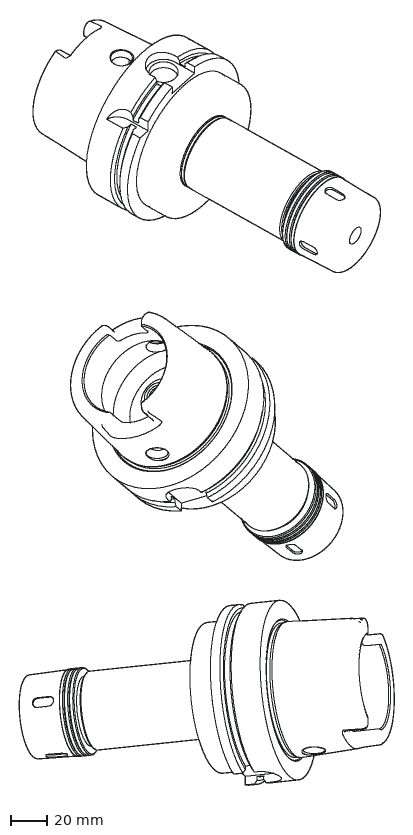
import cadquery as cq
import math


SHANK_LENGTH = 50.0
SHANK_END_RADIUS = 35.5
SHANK_ROOT_RADIUS = 37.85
SHANK_END_ROUND = 2.0
RELIEF_LENGTH = 2.8
RELIEF_RADIUS = 37.5
RELIEF_FACE_RADIUS = 39.5
RELIEF_FACE_DEPTH = 0.5

BORE_DIAMETER = 53.0
BORE_MOUTH_CHAMFER = 0.8
BORE_LIP_X = -30.0
UNDERCUT_DIAMETER = 63.0
UNDERCUT_END_X = -8.8
BORE_FLOOR_DIAMETER = 49.5
SPIGOT_BASE_DIAMETER = 24.0
SPIGOT_STEP_DIAMETER = 23.0
SPIGOT_STEP_X = -12.5
SPIGOT_TIP_BASE_DIAMETER = 16.5
SPIGOT_TIP_DIAMETER = 15.5
SPIGOT_TIP_X = -15.5
COOLANT_DIAMETER = 10.5
COOLANT_CHAMFER = 0.8

FLANGE_RADIUS = 50.0
FLANGE_WIDTH = 29.0
GROOVE_X = 20.2
GROOVE_FLOOR_WIDTH = 3.8
GROOVE_MOUTH_WIDTH = 6.5
GROOVE_FLOOR_RADIUS = 46.0
GROOVE_SHOULDER_RADIUS = 48.0

COLLAR_RADIUS = 42.0
COLLAR_END = 44.0
COLLAR_ROUND = 1.0
SHAFT_DIAMETER = 44.0
SHAFT_END = 114.8
SHAFT_CHAMFER = 0.8
SHAFT_GROOVE_DIAMETER = 43.5
SHAFT_GROOVE_START = 44.8
SHAFT_GROOVE_END = 46.5
SHAFT_GROOVE_SLOPE = 0.5
NECK_DIAMETER = 39.0

NUT_START = 117.5
NUT_END = 150.0
NUT_RING_DIAMETER = 48.8
NUT_RING_COUNT = 3
NUT_RING_PITCH = 3.0
NUT_RING_CHAMFER = 0.5
NUT_CONE_START_RADIUS = 24.1
NUT_CONE_END_RADIUS = 23.5
NUT_END_ROUND = 1.5
NUT_SLOT_COUNT = 4
NUT_SLOT_X = 135.5
NUT_SLOT_LENGTH = 12.5
NUT_SLOT_WIDTH = 5.5
NUT_SLOT_FLOOR_RADIUS = 22.5

KEYWAY_WIDTH = 20.0
KEYWAY_TOP_DEPTH = 10.0
KEYWAY_BOTTOM_DEPTH = 14.2
KEYWAY_SHOULDER = 32.2
KEYWAY_SHOULDER_ROUND = 5.0
KEYWAY_FLOOR_ROUND = 1.9
KEYWAY_MOUTH_ROUND = 1.8
KEYWAY_CUT_BASE = -4.0

ACCESS_X = -14.5
ACCESS_DIAMETER = 12.0
ACCESS_CHAMFER = 0.8

SLOT_X = 15.0
SLOT_WIDTH = 20.0
SLOT_FLOOR = 44.0
POCKET_DIAMETER = 16.0
POCKET_DEPTH = 4.5
NOTCH_WALL_Y = -31.5
NOTCH_FLOOR_Z = 31.7

CLEARANCE = 10.0


def revolve_about_x(profile):
    """Close a profile of (x, radius) points and turn it about the X axis."""
    return profile.close().revolve(360, (0, 0, 0), (1, 0, 0))


def mirrored(cutter):
    """Copy of a cutter on the -Z side."""
    return cutter.mirror("XY")


def keyway_cutter(depth):
    """Keyway open towards +Z whose side walls roll over onto flat shoulders."""
    half_width = KEYWAY_WIDTH / 2
    shoulder_start = half_width + KEYWAY_SHOULDER_ROUND
    wall_top = KEYWAY_SHOULDER - KEYWAY_SHOULDER_ROUND
    outer_half = shoulder_start + CLEARANCE
    outer_top = SHANK_ROOT_RADIUS + CLEARANCE
    cutter = (
        cq.Workplane("YZ", origin=(-SHANK_LENGTH, 0, 0))
        .moveTo(-half_width, KEYWAY_CUT_BASE)
        .lineTo(half_width, KEYWAY_CUT_BASE)
        .lineTo(half_width, wall_top)
        .radiusArc((shoulder_start, KEYWAY_SHOULDER), KEYWAY_SHOULDER_ROUND)
        .lineTo(outer_half, KEYWAY_SHOULDER)
        .lineTo(outer_half, outer_top)
        .lineTo(-outer_half, outer_top)
        .lineTo(-outer_half, KEYWAY_SHOULDER)
        .lineTo(-shoulder_start, KEYWAY_SHOULDER)
        .radiusArc((-half_width, wall_top), KEYWAY_SHOULDER_ROUND)
        .close()
        .extrude(depth)
    )
    return cutter.faces(">X").edges().fillet(KEYWAY_FLOOR_ROUND)


def keyed_blank():
    """Oversize round bar with both keyways, their mouth edges rounded; -Z is the deeper one."""
    blank = (
        cq.Workplane("YZ", origin=(-SHANK_LENGTH, 0, 0))
        .circle(SHANK_ROOT_RADIUS + CLEARANCE)
        .extrude(SHANK_LENGTH + CLEARANCE)
    )
    blank = blank.cut(keyway_cutter(KEYWAY_TOP_DEPTH))
    blank = blank.cut(mirrored(keyway_cutter(KEYWAY_BOTTOM_DEPTH)))
    keyway_edges = cq.selectors.BoxSelector(
        (-SHANK_LENGTH - CLEARANCE, -SHANK_END_RADIUS, -SHANK_END_RADIUS),
        (-SHANK_LENGTH + CLEARANCE, SHANK_END_RADIUS, SHANK_END_RADIUS),
    )
    return blank.faces("<X").edges(keyway_edges).fillet(KEYWAY_MOUTH_ROUND)


def keyed_shank():
    profile = (
        cq.Workplane("XY")
        .moveTo(-SHANK_LENGTH, 0)
        .lineTo(-SHANK_LENGTH, SHANK_END_RADIUS)
        .lineTo(-RELIEF_LENGTH, SHANK_ROOT_RADIUS)
        .lineTo(-RELIEF_LENGTH / 2, RELIEF_RADIUS)
        .lineTo(CLEARANCE, RELIEF_RADIUS)
        .lineTo(CLEARANCE, 0)
    )
    shank = revolve_about_x(profile).faces("<X").edges().fillet(SHANK_END_ROUND)
    return shank.intersect(keyed_blank())


def turned_flange():
    floor_half = GROOVE_FLOOR_WIDTH / 2
    mouth_half = GROOVE_MOUTH_WIDTH / 2
    profile = (
        cq.Workplane("XY")
        .moveTo(RELIEF_FACE_DEPTH, 0)
        .lineTo(RELIEF_FACE_DEPTH, RELIEF_FACE_RADIUS - RELIEF_FACE_DEPTH)
        .lineTo(0, RELIEF_FACE_RADIUS)
        .lineTo(0, FLANGE_RADIUS)
        .lineTo(GROOVE_X - mouth_half, FLANGE_RADIUS)
        .lineTo(GROOVE_X - floor_half, GROOVE_SHOULDER_RADIUS)
        .lineTo(GROOVE_X - floor_half, GROOVE_FLOOR_RADIUS)
        .lineTo(GROOVE_X + floor_half, GROOVE_FLOOR_RADIUS)
        .lineTo(GROOVE_X + floor_half, GROOVE_SHOULDER_RADIUS)
        .lineTo(GROOVE_X + mouth_half, FLANGE_RADIUS)
        .lineTo(FLANGE_WIDTH, FLANGE_RADIUS)
        .lineTo(FLANGE_WIDTH, 0)
    )
    return revolve_about_x(profile)


def turned_collar():
    collar = cq.Workplane("YZ").circle(COLLAR_RADIUS).extrude(COLLAR_END - FLANGE_WIDTH)
    return collar.faces(">X").edges().fillet(COLLAR_ROUND).translate((FLANGE_WIDTH, 0, 0))


def turned_shaft():
    shaft_radius = SHAFT_DIAMETER / 2
    groove_radius = SHAFT_GROOVE_DIAMETER / 2
    neck_radius = NECK_DIAMETER / 2
    profile = (
        cq.Workplane("XY")
        .moveTo(FLANGE_WIDTH, 0)
        .lineTo(FLANGE_WIDTH, shaft_radius)
        .lineTo(SHAFT_GROOVE_START, shaft_radius)
        .lineTo(SHAFT_GROOVE_START, groove_radius)
        .lineTo(SHAFT_GROOVE_END, groove_radius)
        .lineTo(SHAFT_GROOVE_END + SHAFT_GROOVE_SLOPE, shaft_radius)
        .lineTo(SHAFT_END - SHAFT_CHAMFER, shaft_radius)
        .lineTo(SHAFT_END, shaft_radius - SHAFT_CHAMFER)
        .lineTo(SHAFT_END, neck_radius)
        .lineTo(NUT_START + CLEARANCE, neck_radius)
        .lineTo(NUT_START + CLEARANCE, 0)
    )
    return revolve_about_x(profile)


def collet_nut():
    ring_radius = NUT_RING_DIAMETER / 2
    root_radius = ring_radius - NUT_RING_CHAMFER
    profile = cq.Workplane("XY").moveTo(NUT_START, 0).lineTo(NUT_START, root_radius)

    for index in range(NUT_RING_COUNT):
        ring_start = NUT_START + index * NUT_RING_PITCH
        next_start = ring_start + NUT_RING_PITCH
        profile = profile.lineTo(ring_start + NUT_RING_CHAMFER, ring_radius)
        profile = profile.lineTo(next_start - NUT_RING_CHAMFER, ring_radius)
        if index < NUT_RING_COUNT - 1:
            profile = profile.lineTo(next_start, root_radius)

    profile = (
        profile.lineTo(next_start - NUT_RING_CHAMFER, NUT_CONE_START_RADIUS)
        .lineTo(NUT_END, NUT_CONE_END_RADIUS)
        .lineTo(NUT_END, 0)
    )
    nut = revolve_about_x(profile).faces(">X").edges().fillet(NUT_END_ROUND)

    wrench_slot = (
        cq.Workplane("XY", origin=(NUT_SLOT_X, 0, NUT_SLOT_FLOOR_RADIUS))
        .slot2D(NUT_SLOT_LENGTH, NUT_SLOT_WIDTH)
        .extrude(CLEARANCE)
    )
    for index in range(NUT_SLOT_COUNT):
        angle = index * 360 / NUT_SLOT_COUNT
        nut = nut.cut(wrench_slot.rotate((0, 0, 0), (1, 0, 0), angle))
    return nut


def shank_bore():
    """Bore with an undercut behind its lip and a 45 degree bevel around the spigot floor."""
    bore_radius = BORE_DIAMETER / 2
    undercut_radius = UNDERCUT_DIAMETER / 2
    floor_radius = BORE_FLOOR_DIAMETER / 2
    floor_x = UNDERCUT_END_X + undercut_radius - floor_radius
    profile = (
        cq.Workplane("XY")
        .moveTo(-SHANK_LENGTH, 0)
        .lineTo(-SHANK_LENGTH, bore_radius + BORE_MOUTH_CHAMFER)
        .lineTo(-SHANK_LENGTH + BORE_MOUTH_CHAMFER, bore_radius)
        .lineTo(BORE_LIP_X, bore_radius)
        .lineTo(BORE_LIP_X, undercut_radius)
        .lineTo(UNDERCUT_END_X, undercut_radius)
        .lineTo(floor_x, floor_radius)
        .lineTo(floor_x, SPIGOT_BASE_DIAMETER / 2)
        .lineTo(SPIGOT_STEP_X, SPIGOT_STEP_DIAMETER / 2)
        .lineTo(SPIGOT_STEP_X, SPIGOT_TIP_BASE_DIAMETER / 2)
        .lineTo(SPIGOT_TIP_X, SPIGOT_TIP_DIAMETER / 2)
        .lineTo(SPIGOT_TIP_X, 0)
    )
    return revolve_about_x(profile)


def coolant_bore():
    coolant_radius = COOLANT_DIAMETER / 2
    profile = (
        cq.Workplane("XY")
        .moveTo(SPIGOT_TIP_X, 0)
        .lineTo(SPIGOT_TIP_X, coolant_radius + COOLANT_CHAMFER)
        .lineTo(SPIGOT_TIP_X + COOLANT_CHAMFER, coolant_radius)
        .lineTo(NUT_END, coolant_radius)
        .lineTo(NUT_END, 0)
    )
    return revolve_about_x(profile)


def access_hole():
    """Radial hole towards +Z with a countersunk mouth on the taper."""
    radius = ACCESS_DIAMETER / 2
    taper = (SHANK_ROOT_RADIUS - SHANK_END_RADIUS) / (SHANK_LENGTH - RELIEF_LENGTH)
    mouth_z = SHANK_END_RADIUS + taper * (SHANK_LENGTH + ACCESS_X)
    profile = (
        cq.Workplane("XZ")
        .moveTo(0, SPIGOT_BASE_DIAMETER / 2 + CLEARANCE)
        .lineTo(radius, SPIGOT_BASE_DIAMETER / 2 + CLEARANCE)
        .lineTo(radius, mouth_z - ACCESS_CHAMFER)
        .lineTo(radius + ACCESS_CHAMFER, mouth_z)
        .lineTo(radius + ACCESS_CHAMFER, mouth_z + CLEARANCE)
        .lineTo(0, mouth_z + CLEARANCE)
        .close()
    )
    return profile.revolve(360, (0, 0, 0), (0, 1, 0)).translate((ACCESS_X, 0, 0))


def round_ended_slot(center_y, floor_z):
    """Slot cut down to floor_z, round at its -X end and open at the back of the flange."""
    length = FLANGE_WIDTH - SLOT_X
    height = FLANGE_RADIUS - floor_z
    plane = cq.Workplane("XY", origin=(SLOT_X, center_y, floor_z))
    round_end = plane.circle(SLOT_WIDTH / 2).extrude(height)
    straight = plane.rect(2 * length, SLOT_WIDTH).extrude(height)
    front_half = cq.Workplane("XY").box(length, SLOT_WIDTH, height, centered=(False, True, False))
    straight = straight.intersect(front_half.translate((SLOT_X, center_y, floor_z)))
    return round_end.union(straight)


body = keyed_shank().union(turned_flange()).union(turned_collar())
body = body.union(turned_shaft()).union(collet_nut())
body = body.cut(shank_bore()).cut(coolant_bore())

body = body.cut(access_hole()).cut(mirrored(access_hole()))

drive_slot = round_ended_slot(0, SLOT_FLOOR)
body = body.cut(drive_slot).cut(mirrored(drive_slot))
pocket = (
    cq.Workplane("XY", origin=(SLOT_X, 0, SLOT_FLOOR - POCKET_DEPTH))
    .circle(POCKET_DIAMETER / 2)
    .extrude(POCKET_DEPTH)
)
body = body.cut(pocket)
body = body.cut(round_ended_slot(NOTCH_WALL_Y - SLOT_WIDTH / 2, NOTCH_FLOOR_Z))

result = body